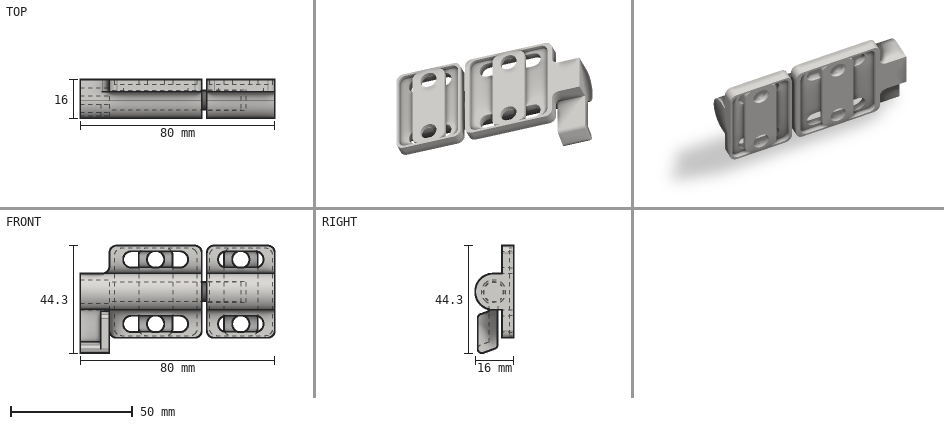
import cadquery as cq
import math


housing_length = 50.0
keeper_length = 28.0
gap = 2.0
keeper_start = housing_length + gap
plate_height = 38.0
plate_thickness = 5.0
plate_corner_radius = 3.0
barrel_radius = 7.5
mount_y = 8.5

slot_width = 6.6
housing_slide = 20.0
keeper_slide = 12.0
slot_z = (plate_height / 2 + barrel_radius) / 2
strap_width = 14.0
strap_thickness = 2.0
strap_edge_margin = 1.0
strap_height = plate_height - 2 * strap_edge_margin
strap_corner_radius = 3.0
screw_hole_diameter = 7.0

head_diameter = 10.0
rod_diameter = 8.0
socket_diameter = 8.5
socket_depth = 16.0
rod_engagement = 14.0

lever_width = 12.0
lever_thickness = 3.6
half_lever = lever_thickness / 2
lip_angle = math.radians(20)
lip_front_y = -6.45
lever_bottom_z = -25.27
rib_width = 3.5
rib_top_z = -7.95
rib_corner_radius = 1.8
bend_radius = 1.8
tip_radius = 1.75


def x_cylinder(diameter, start, end):
    """Cylinder on the bolt axis between two X positions."""
    return cq.Workplane("YZ", origin=(start, 0, 0)).circle(diameter / 2).extrude(end - start)


def xz_plane(y):
    """Sketch plane facing -Y, with X to the right and Z up."""
    return cq.Workplane("XZ", origin=(0, y, 0))


def barrel(start, end):
    """D-shaped barrel with its flat side on the mounting face."""
    return (
        cq.Workplane("YZ", origin=(start, 0, 0))
        .moveTo(mount_y, barrel_radius)
        .lineTo(0, barrel_radius)
        .threePointArc((-barrel_radius, 0), (0, -barrel_radius))
        .lineTo(mount_y, -barrel_radius)
        .close()
        .extrude(end - start)
    )


def plate(start, end):
    """Rounded mounting plate."""
    return (
        xz_plane(mount_y)
        .center((start + end) / 2, 0)
        .rect(end - start, plate_height)
        .extrude(plate_thickness)
        .edges("|Y")
        .fillet(plate_corner_radius)
    )


def strap_block(center_x, width):
    """Round-cornered block lying flush with the mounting face."""
    return (
        xz_plane(mount_y)
        .center(center_x, 0)
        .rect(width, strap_height)
        .extrude(strap_thickness)
        .edges("|Y")
        .fillet(strap_corner_radius)
    )


def cut_strap_guide(body, center_x, slide):
    """Cut the strap pocket in the back and the two fixing slots in front of it."""
    slots = (
        xz_plane(mount_y)
        .pushPoints([(center_x, slot_z), (center_x, -slot_z)])
        .slot2D(slide + slot_width, slot_width)
        .extrude(plate_thickness)
    )
    return body.cut(strap_block(center_x, strap_width + slide)).cut(slots)


def concave_corner(side):
    """Fillet between the left plate edge and the barrel; side is 1 above, -1 below."""
    r = plate_corner_radius
    corner_z = side * barrel_radius
    center = (lever_width - r, corner_z + side * r)
    middle = (center[0] + r * math.sqrt(0.5), center[1] - side * r * math.sqrt(0.5))
    return (
        xz_plane(mount_y)
        .moveTo(lever_width, corner_z)
        .lineTo(lever_width, center[1])
        .threePointArc(middle, (center[0], corner_z))
        .close()
        .extrude(plate_thickness)
    )


def make_housing():
    body = plate(lever_width, housing_length).union(barrel(0, housing_length))
    for side in (1, -1):
        body = body.union(concave_corner(side))
    body = cut_strap_guide(body, (lever_width + housing_length) / 2, housing_slide)
    body = body.cut(x_cylinder(head_diameter, 0, lever_width))
    body = body.cut(x_cylinder(rod_diameter, lever_width, housing_length))
    lever_opening = (
        cq.Workplane("XY")
        .center(lever_width / 2, 0)
        .rect(lever_width, lever_thickness)
        .extrude(-plate_height / 2)
    )
    return body.cut(lever_opening)


def make_keeper():
    end = keeper_start + keeper_length
    body = plate(keeper_start, end).union(barrel(keeper_start, end))
    body = cut_strap_guide(body, (keeper_start + end) / 2, keeper_slide)
    return body.cut(x_cylinder(socket_diameter, keeper_start, keeper_start + socket_depth))


def make_strap(center_x):
    """Strap with one screw hole behind each fixing slot."""
    holes = (
        xz_plane(mount_y)
        .pushPoints([(center_x, slot_z), (center_x, -slot_z)])
        .circle(screw_hole_diameter / 2)
        .extrude(strap_thickness)
    )
    return strap_block(center_x, strap_width).cut(holes)


lip_slope = math.tan(lip_angle)
tip_z = lever_bottom_z + tip_radius
lip_outer_front_z = tip_z - tip_radius * (lip_slope + 1 / math.cos(lip_angle))
lip_inner_front_z = lip_outer_front_z + lever_thickness / math.cos(lip_angle)


def rise_from_front(y):
    """Height that the sloping faces gain from the lip front back to y."""
    return lip_slope * (y - lip_front_y)


def round_x_edge(body, y, z, radius):
    """Fillet the edge along X that lies nearest to the given position."""
    middle_x = body.val().Center().x
    return body.edges("|X").edges(cq.selectors.NearestToPointSelector((middle_x, y, z))).fillet(radius)


def lever_blade():
    """Straight lever with its sloping lip."""
    outer_bend_z = lip_outer_front_z + rise_from_front(half_lever)
    body = (
        cq.Workplane("YZ")
        .moveTo(half_lever, 0)
        .lineTo(-half_lever, 0)
        .lineTo(-half_lever, lip_inner_front_z + rise_from_front(-half_lever))
        .lineTo(lip_front_y, lip_inner_front_z)
        .lineTo(lip_front_y, lip_outer_front_z)
        .lineTo(half_lever, outer_bend_z)
        .close()
        .extrude(lever_width)
    )
    body = round_x_edge(body, half_lever, outer_bend_z, bend_radius)
    body = round_x_edge(body, lip_front_y, lip_inner_front_z, tip_radius)
    return round_x_edge(body, lip_front_y, lip_outer_front_z, tip_radius)


def lever_rib():
    """Side rib between the lever and the front of the lip."""
    front_top_z = rib_top_z - rise_from_front(-half_lever)
    body = (
        cq.Workplane("YZ", origin=(lever_width - rib_width, 0, 0))
        .moveTo(-half_lever, rib_top_z)
        .lineTo(lip_front_y, front_top_z)
        .lineTo(lip_front_y, tip_z)
        .lineTo(-half_lever, tip_z)
        .close()
        .extrude(rib_width)
    )
    return round_x_edge(body, lip_front_y, front_top_z, rib_corner_radius)


def make_bolt():
    head = x_cylinder(head_diameter, 0, lever_width)
    rod = x_cylinder(rod_diameter, lever_width, keeper_start + rod_engagement)
    return head.union(rod).union(lever_blade()).union(lever_rib())


housing = make_housing()
keeper = make_keeper()
bolt = make_bolt()
strap_centers = [(lever_width + housing_length) / 2, keeper_start + keeper_length / 2]
straps = [make_strap(center_x).val() for center_x in strap_centers]

result = cq.Compound.makeCompound([housing.val(), keeper.val(), bolt.val(), *straps])